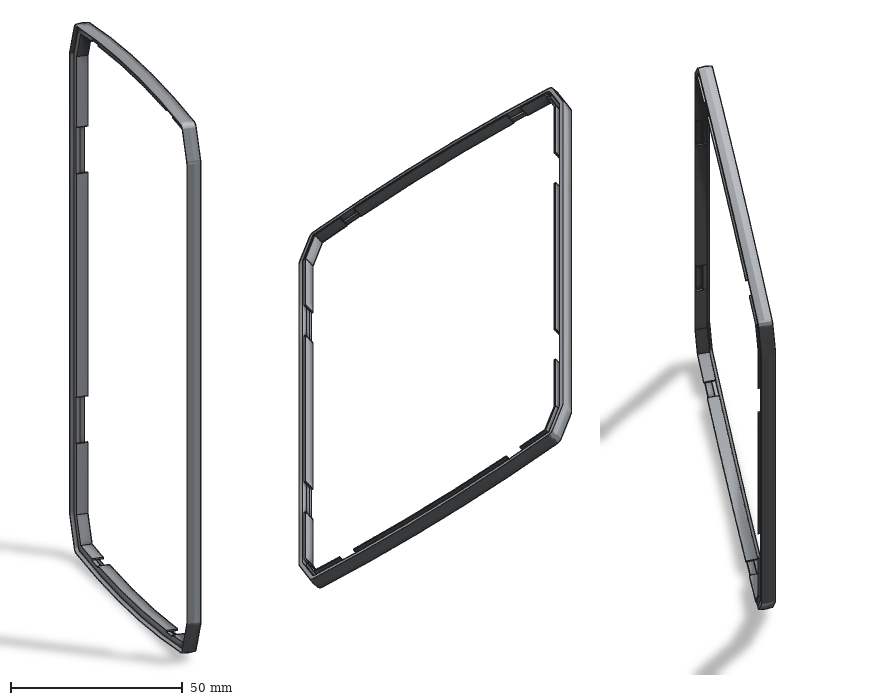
import cadquery as cq
import math

LENGTH = 170.0
WIDTH = 97.5
END_ARC_RADIUS = 391.1
END_HALF_SPAN = 44.4
SIDE_HALF_SPAN = 72.0
END_CORNER_FILLET = 2.2
SIDE_CORNER_FILLET = 2.5

DRAFT_ANGLE = 5.6
NOSE_RADIUS = 0.3

DEPTH = 4.8
FRONT_Y = -DEPTH / 2
LIP_BACK_Y = DEPTH / 2
LIP_PROUD = 0.5
BODY_BACK_Y = LIP_BACK_Y - LIP_PROUD
RIDGE_Y = -0.2
NOSE_Y = FRONT_Y + NOSE_RADIUS
SHELF_RECESS = 1.2
SHELF_THICKNESS = 1.2
SHELF_FRONT_Y = FRONT_Y + SHELF_RECESS
SHELF_BACK_Y = SHELF_FRONT_Y + SHELF_THICKNESS

RIM_BACK_INSET = 1.5
SHELF_INSET = 2.5
LIP_THICKNESS = 0.5
LIP_INSET = SHELF_INSET + LIP_THICKNESS

SIDE_GAP_Z = 42.0
SIDE_GAP_LENGTH = 14.5
END_GAP_X = 30.6
END_GAP_LENGTH = 5.1
GAP_REACH = 13.6


def centred_box(x_size, z_size):
    """Selector for whatever is centred inside a box of this size about the origin."""
    corner = cq.Vector(x_size / 2, 2 * DEPTH, z_size / 2)
    return cq.selectors.BoxSelector((-corner).toTuple(), corner.toTuple())


def outline_wire():
    """Outer outline at the ridge, with rounded corners, in the plane Y = 0."""
    half_width = WIDTH / 2
    half_length = LENGTH / 2
    bow = END_ARC_RADIUS - math.sqrt(END_ARC_RADIUS**2 - END_HALF_SPAN**2)
    end_z = half_length - bow
    sharp = (
        cq.Workplane("XZ")
        .moveTo(half_width, -SIDE_HALF_SPAN)
        .lineTo(half_width, SIDE_HALF_SPAN)
        .lineTo(END_HALF_SPAN, end_z)
        .threePointArc((0, half_length), (-END_HALF_SPAN, end_z))
        .lineTo(-half_width, SIDE_HALF_SPAN)
        .lineTo(-half_width, -SIDE_HALF_SPAN)
        .lineTo(-END_HALF_SPAN, -end_z)
        .threePointArc((0, -half_length), (END_HALF_SPAN, -end_z))
        .close()
        .extrude(DEPTH)
    )
    side_corners = centred_box(WIDTH + 1.7, 2 * SIDE_HALF_SPAN + 1.7)
    end_corners = centred_box(2 * END_HALF_SPAN + 1.7, LENGTH)
    rounded = sharp.edges("|Y").edges(side_corners).fillet(SIDE_CORNER_FILLET)
    rounded = rounded.edges("|Y").edges(end_corners).fillet(END_CORNER_FILLET)
    return rounded.faces(">Y").wires().val()


OUTLINE = outline_wire()


def slab(inset, start_y, end_y, taper=0.0):
    """Solid filling the inset outline between two depths, narrowing toward end_y."""
    wire = OUTLINE.offset2D(-inset)[0] if inset else OUTLINE
    face = cq.Face.makeFromWires(wire.translate(cq.Vector(0, start_y, 0)))
    return cq.Workplane(cq.Solid.extrudeLinear(face, cq.Vector(0, end_y - start_y, 0), taper))


def make_nose(outer_inset):
    """Half-round bead along the front of the rim, its outer side at the given inset."""
    centre_inset = outer_inset + NOSE_RADIUS
    path = cq.Workplane(OUTLINE.offset2D(-centre_inset)[0].translate(cq.Vector(0, NOSE_Y, 0)))
    return (
        cq.Workplane("XY", origin=(WIDTH / 2 - centre_inset, NOSE_Y, 0))
        .moveTo(-NOSE_RADIUS, 0)
        .threePointArc((0, -NOSE_RADIUS), (NOSE_RADIUS, 0))
        .close()
        .sweep(path)
    )


def make_body():
    """Rim with its drafted outside and rounded front, and the shelf inside it."""
    nose_inset = (RIDGE_Y - NOSE_Y) * math.tan(math.radians(DRAFT_ANGLE))
    body = (
        slab(0, RIDGE_Y, BODY_BACK_Y, DRAFT_ANGLE)
        .union(slab(0, RIDGE_Y, NOSE_Y, DRAFT_ANGLE))
        .cut(slab(nose_inset + 2 * NOSE_RADIUS, NOSE_Y, SHELF_FRONT_Y, DRAFT_ANGLE))
        .cut(slab(SHELF_INSET, SHELF_FRONT_Y, SHELF_BACK_Y, DRAFT_ANGLE))
        .cut(slab(RIM_BACK_INSET, SHELF_BACK_Y, BODY_BACK_Y))
    )
    return body.union(make_nose(nose_inset))


def make_lip():
    """Thin wall along the inner edge of the shelf, broken by eight gaps."""
    outside = slab(SHELF_INSET, SHELF_FRONT_Y, LIP_BACK_Y)
    lip = outside.cut(slab(LIP_INSET, SHELF_FRONT_Y, LIP_BACK_Y))
    side_gap = cq.Workplane("XY").box(GAP_REACH, 2 * DEPTH, SIDE_GAP_LENGTH)
    end_gap = cq.Workplane("XY").box(END_GAP_LENGTH, 2 * DEPTH, GAP_REACH)
    for x_sign in (-1, 1):
        for z_sign in (-1, 1):
            lip = lip.cut(side_gap.translate((x_sign * WIDTH / 2, 0, z_sign * SIDE_GAP_Z)))
            lip = lip.cut(end_gap.translate((x_sign * END_GAP_X, 0, z_sign * LENGTH / 2)))
    return lip


result = make_body().union(make_lip())